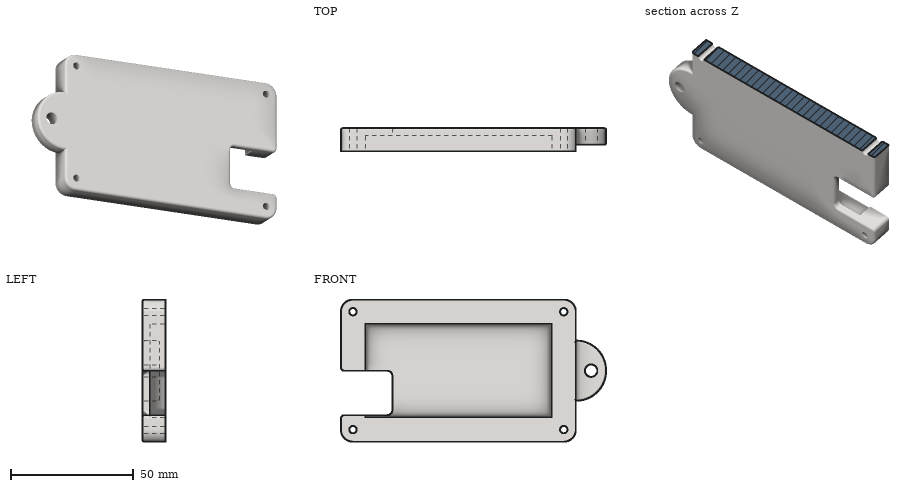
import cadquery as cq

overall_length = 108.5
tab_radius = 12.4
body_length = overall_length - tab_radius
body_height = 58.2
body_depth = 9.5
corner_radius = 5.0
edge_round = 1.0

rim_width = 10.0
floor_thickness = 3.0

notch_length = 21.0
notch_bottom = 11.0
notch_top = 29.0
notch_inner_radius = 2.0
notch_mouth_radius = 1.5

screw_hole_diameter = 2.9
tab_thickness = 6.9
tab_hole_diameter = 5.0
tab_hole_offset = 6.2


def back_plane():
    """XZ workplane on the back face; extruding goes toward the front."""
    return cq.Workplane("XZ", origin=(0, body_depth, 0))


def notch_corners(x):
    """Select the notch's corner edges at the given X."""
    margin = 0.1
    return cq.selectors.BoxSelector(
        (x - margin, -margin, notch_bottom - margin),
        (x + margin, body_depth + margin, notch_top + margin),
    )


def make_body():
    """Rounded plate with the side notch, rounded along its back outline."""
    plate = back_plane().rect(body_length, body_height, centered=False).extrude(body_depth)
    plate = plate.edges("|Y").fillet(corner_radius)
    notch_height = notch_top - notch_bottom
    notch = (
        back_plane()
        .center(0, notch_bottom)
        .rect(notch_length, notch_height, centered=False)
        .extrude(body_depth)
    )
    plate = plate.cut(notch)
    plate = plate.edges("|Y").edges(notch_corners(notch_length)).fillet(notch_inner_radius)
    plate = plate.edges("|Y").edges(notch_corners(0)).fillet(notch_mouth_radius)
    return plate.faces(">Y").edges().fillet(edge_round)


def make_pocket():
    """Rectangular recess leaving the rim and the back floor."""
    return (
        cq.Workplane("XZ", origin=(rim_width, body_depth - floor_thickness, rim_width))
        .rect(body_length - 2 * rim_width, body_height - 2 * rim_width, centered=False)
        .extrude(body_depth - floor_thickness)
    )


def make_screw_holes():
    """One through hole concentric with each rounded corner."""
    centers = [
        (x, z)
        for x in (corner_radius, body_length - corner_radius)
        for z in (corner_radius, body_height - corner_radius)
    ]
    return back_plane().pushPoints(centers).circle(screw_hole_diameter / 2).extrude(body_depth)


def make_tab():
    """Half-round tab, its disc centred on the +X side of the body."""
    disc = back_plane().center(body_length, body_height / 2).circle(tab_radius).extrude(tab_thickness)
    disc = disc.edges().fillet(edge_round)
    outer_half = (
        back_plane()
        .center(body_length - edge_round, 0)
        .rect(tab_radius + edge_round, body_height, centered=False)
        .extrude(tab_thickness)
    )
    hole = (
        back_plane()
        .center(body_length + tab_hole_offset, body_height / 2)
        .circle(tab_hole_diameter / 2)
        .extrude(tab_thickness)
    )
    return disc.intersect(outer_half).cut(hole)


result = make_body().cut(make_pocket()).cut(make_screw_holes()).union(make_tab())